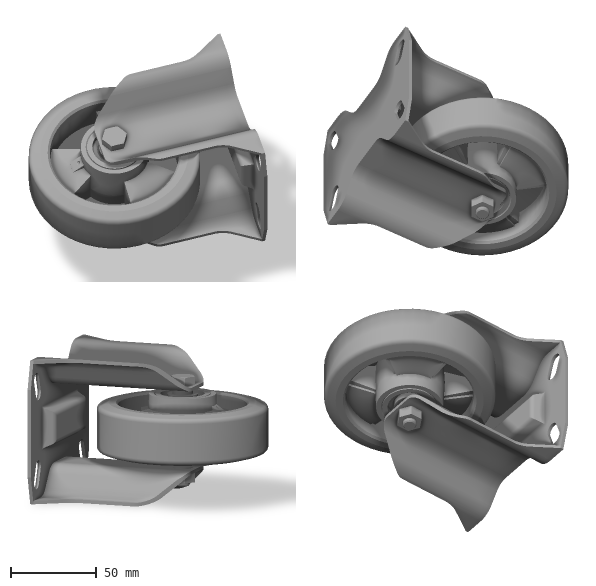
import cadquery as cq
import math


overlap = 1.3
margin = 0.1

wheel_radius = 49.98
wheel_half_width = 15.0
tyre_face_radius = 43.1
tyre_shoulder_angle = 15.5
tyre_shoulder_fillet = 2.8
rim_radius = 41.5
rim_lip_radius = 38.9
rim_chamfer = 1.3
web_outer_radius = 37.0

hub_half_width = 20.2
hub_face_radius = 19.6
hub_base_radius = 20.5
hub_mouth_chamfer = 0.8
web_hub_height = 11.6
web_rim_height = 6.9
web_thickness = 3.1
web_sectors = 6
rib_angle = 5.0

wedge_width = 7.0
wedge_hub_height = 13.8
wedge_end_height = 10.1
wedge_end_radius = 26.1
dimple_radius = 22.0
dimple_diameter = 2.3
dimple_depth = 0.5

bearing_diameter = 32.0
bearing_width = 10.0
seal_depth = 2.5
seal_slope_depth = 1.0
seal_outer_diameter = 25.9
seal_outer_flat = 24.0
seal_inner_flat = 20.1
seal_inner_diameter = 18.0
spacer_diameter = 12.0

bolt_diameter = 8.0
bolt_end = 34.4
bolt_end_chamfer = 0.6
hex_sides = 6
hex_flats = 13.0
hex_corners = hex_flats / math.cos(math.pi / hex_sides)
head_height = 5.0
head_chamfer_height = 0.3
nut_height = 6.4

sheet = 2.0
overall_length = 128.0
plate_back = overall_length - wheel_radius
plate_front = plate_back - sheet
plate_half_width = wheel_radius
plate_side_half_height = 25.9
plate_end_half_width = 45.5
crest_height = 42.5
valley_height = 25.6
valley_corner = 14.5
flank_angle = 53.0
bend_radius = 10.0

leg_root_half_width = 45.2
leg_half_width = 32.3
leg_root_fillet = 18.7
leg_edge_angle = 56.5
leg_shoulder = 17.3
leg_end = -9.0
leg_corner_fillet = 9.7

slot_diameter = 8.6
slot_length = 17.2
slot_x = 38.7
slot_z = 26.1
slot_tilt = 20.0

pad_length = 59.1
pad_height = 24.0
pad_depth = 6.9
pad_taper = 24.0
pad_top_fillet = 3.1
pad_base_fillet = 1.5


def revolved(points, angle=360.0):
    """Turn a closed (radius, z) outline about the Z axis, counting the angle from +X."""
    return cq.Workplane("XZ").polyline(points).close().revolve(angle, (0, 0), (0, 1))


def cylinder(diameter, bottom, top):
    return cq.Workplane("XY").workplane(offset=bottom).circle(diameter / 2).extrude(top - bottom)


def hexagon(bottom, top):
    """Hexagonal prism with two of its flats facing along X."""
    prism = cq.Workplane("XY").workplane(offset=bottom).polygon(hex_sides, hex_corners).extrude(top - bottom)
    return prism.rotate((0, 0, 0), (0, 0, 1), 180 / hex_sides)


def box_selector(half_x, half_z, front, back):
    """Picks what has its centre in a box centred on the Y axis, between two places along Y."""
    return cq.selectors.BoxSelector(
        (-half_x - margin, front - margin, -half_z - margin),
        (half_x + margin, back + margin, half_z + margin),
    )


def folded_block(inset, back, front):
    """Block with the waisted outline of the bracket, drawn in from the outer sheet face by the inset."""
    half_turn = math.tan(math.radians(flank_angle / 2))
    flank_run = (crest_height - valley_height) / math.tan(math.radians(flank_angle))
    valley_x = valley_corner + inset * half_turn
    crest_x = valley_x + flank_run
    crest_z = crest_height - inset
    valley_z = valley_height - inset
    quarter = [
        (valley_x, valley_z),
        (crest_x, crest_z),
        (plate_end_half_width, crest_z),
        (plate_half_width, plate_side_half_height),
    ]
    right = quarter + [(x, -z) for x, z in reversed(quarter)]
    left = [(-x, -z) for x, z in right]
    block = cq.Workplane("XZ", origin=(0, back, 0)).polyline(right + left).close().extrude(back - front)

    valleys = box_selector(valley_x, valley_z, front, back)
    block = block.edges("|Y").edges(valleys).fillet(bend_radius + inset)
    crests = box_selector(crest_x, crest_z, front, back)
    bend_starts = box_selector(valley_x + flank_run / 2, crest_z, front, back)
    return block.edges("|Y").edges(crests - bend_starts).fillet(bend_radius + sheet - inset)


def leg_contour():
    """Block standing along Z whose plan is the plate edge running into the two tapered legs."""
    slope = math.tan(math.radians(leg_edge_angle))
    neck_y = plate_front - (leg_root_half_width - leg_half_width) * slope
    tip_x = leg_half_width - (leg_shoulder - leg_end) / slope
    right = [
        (plate_half_width, plate_back),
        (plate_half_width, plate_front),
        (leg_root_half_width, plate_front),
        (leg_half_width, neck_y),
        (leg_half_width, leg_shoulder),
        (tip_x, leg_end),
    ]
    left = [(-x, y) for x, y in reversed(right)]
    block = cq.Workplane("XY").polyline(right + left).close().extrude(crest_height, both=True)
    necks = box_selector(leg_half_width, crest_height, neck_y - margin, neck_y + margin)
    block = block.edges("|Z").edges(necks).fillet(leg_root_fillet)
    corners = box_selector(leg_half_width, crest_height, leg_end, leg_shoulder)
    return block.edges("|Z").edges(corners).fillet(leg_corner_fillet)


def mounting_slots():
    """Four slots through the plate, leaning outward towards its top and bottom edges."""
    slots = cq.Workplane("XZ")
    for side in (-1, 1):
        for level in (-1, 1):
            slot = (
                cq.Workplane("XZ", origin=(side * slot_x, plate_back + sheet, level * slot_z))
                .transformed(rotate=(0, 0, 90 - side * level * slot_tilt))
                .slot2D(slot_length, slot_diameter)
                .extrude(3 * sheet)
            )
            slots = slots.add(slot)
    return slots.combine()


def plate_pad():
    """Tapered pad in the middle of the plate, facing the wheel."""
    pad = (
        cq.Workplane("XZ", origin=(0, plate_front, 0))
        .rect(pad_length, pad_height)
        .extrude(pad_depth, taper=pad_taper)
    )
    return pad.faces("<Y").edges().fillet(pad_top_fillet)


def make_bracket():
    folded = folded_block(0, plate_back, leg_end).cut(folded_block(sheet, plate_front, leg_end - overlap))
    bracket = folded.intersect(leg_contour()).cut(mounting_slots()).union(plate_pad())
    pad_foot = box_selector(pad_length / 2, pad_height / 2, plate_front, plate_front)
    bracket = bracket.edges(pad_foot).fillet(pad_base_fillet)
    return bracket.cut(cylinder(bolt_diameter, -crest_height, crest_height))


def make_tyre():
    """Tread with sloping shoulders, each turning into the running surface through a tangent arc."""
    slope = math.radians(tyre_shoulder_angle)
    turn = math.pi / 2 - slope
    tangent = tyre_shoulder_fillet * math.tan(turn / 2)
    corner_z = wheel_half_width - (wheel_radius - tyre_face_radius) * math.tan(slope)
    arc_start = (wheel_radius - tangent * math.cos(slope), corner_z + tangent * math.sin(slope))
    arc_end = (wheel_radius, corner_z - tangent)
    arc_middle = (
        wheel_radius - tyre_shoulder_fillet * (1 - math.cos(turn / 2)),
        arc_end[1] + tyre_shoulder_fillet * math.sin(turn / 2),
    )

    def below(point):
        return point[0], -point[1]

    outline = (
        cq.Workplane("XZ")
        .moveTo(rim_radius, wheel_half_width)
        .lineTo(tyre_face_radius, wheel_half_width)
        .lineTo(*arc_start)
        .threePointArc(arc_middle, arc_end)
        .lineTo(*below(arc_end))
        .threePointArc(below(arc_middle), below(arc_start))
        .lineTo(tyre_face_radius, -wheel_half_width)
        .lineTo(rim_radius, -wheel_half_width)
        .close()
    )
    return outline.revolve(360, (0, 0), (0, 1))


def rim():
    """Ring drafted from both ends to a narrowest circle, which the low web sectors cover."""
    throat_radius = rim_lip_radius - rim_chamfer
    throat_height = wheel_half_width - rim_chamfer
    waist_height = web_thickness / 2 - web_rim_height
    upper = [
        (throat_radius, throat_height),
        (rim_lip_radius, wheel_half_width),
        (rim_radius, wheel_half_width),
    ]
    lower = [(r, -z) for r, z in reversed(upper)]
    return revolved([(web_outer_radius, waist_height)] + upper + lower)


def hub():
    bore = bearing_diameter / 2
    upper = [
        (hub_base_radius, 0),
        (hub_face_radius, hub_half_width),
        (bore + hub_mouth_chamfer, hub_half_width),
        (bore, hub_half_width - hub_mouth_chamfer),
    ]
    return revolved(upper + [(r, -z) for r, z in reversed(upper[1:])])


def web():
    """Dished sectors, in turn high and low at the hub, with a radial rib at every step between them."""
    inner = (hub_face_radius + bearing_diameter / 2) / 2
    outer = (web_outer_radius + rim_lip_radius) / 2
    slope = (web_hub_height - web_rim_height) / (web_outer_radius - hub_base_radius)
    inner_z = web_hub_height + (hub_base_radius - inner) * slope
    outer_z = web_rim_height - (outer - web_outer_radius) * slope
    sector_angle = 360 / web_sectors
    high = revolved(
        [(inner, inner_z), (outer, outer_z), (outer, outer_z - web_thickness), (inner, inner_z - web_thickness)],
        sector_angle,
    )
    low = high.rotate((0, 0, 0), (1, 0, 0), 180)
    rib_inner_z = inner_z - web_thickness / 2
    rib_outer_z = outer_z - web_thickness / 2
    rib = revolved(
        [(inner, rib_inner_z), (outer, rib_outer_z), (outer, -rib_outer_z), (inner, -rib_inner_z)],
        rib_angle,
    )
    far_rib = rib.rotate((0, 0, 0), (0, 0, 1), sector_angle - rib_angle)
    pair = high.union(low).union(rib).union(far_rib)
    whole = pair
    for turn in range(1, web_sectors // 2):
        whole = whole.union(pair.rotate((0, 0, 0), (0, 0, 1), 2 * turn * sector_angle))
    return whole


def web_wedge():
    """Sloping wedge against the hub on the -Y sector of the web."""
    inner = hub_face_radius - overlap
    slope = (wedge_hub_height - wedge_end_height) / (wedge_end_radius - hub_base_radius)
    inner_z = wedge_end_height + (wedge_end_radius - inner) * slope
    foot = wedge_end_height - web_thickness / 2
    wedge = (
        cq.Workplane("YZ")
        .polyline([(-inner, foot), (-inner, inner_z), (-wedge_end_radius, wedge_end_height),
                   (-wedge_end_radius, foot)])
        .close()
        .extrude(wedge_width / 2, both=True)
    )
    surface = wedge_end_height + (wedge_end_radius - dimple_radius) * slope
    dimple = cylinder(dimple_diameter, surface - dimple_depth, wedge_hub_height).translate((0, -dimple_radius, 0))
    return wedge, dimple


def make_wheel():
    wedge, dimple = web_wedge()
    return rim().union(web()).union(hub()).union(wedge).cut(dimple)


def make_bearing(side):
    """Bearing with a sunken seal on its outer face; side is +1 for the top one and -1 for the bottom one."""
    face = hub_half_width
    seal = face - seal_depth
    seal_rim = seal - seal_slope_depth
    back = face - bearing_width
    bearing = revolved([
        (spacer_diameter / 2, back),
        (bearing_diameter / 2, back),
        (bearing_diameter / 2, face),
        (seal_outer_diameter / 2, face),
        (seal_outer_diameter / 2, seal_rim),
        (seal_outer_flat / 2, seal),
        (seal_inner_flat / 2, seal),
        (seal_inner_diameter / 2, seal_rim),
        (seal_inner_diameter / 2, face),
        (spacer_diameter / 2, face),
    ])
    return bearing if side > 0 else bearing.mirror("XY")


def make_spacer():
    reach = valley_height - sheet
    return cylinder(spacer_diameter, -reach, reach).cut(cylinder(bolt_diameter, -reach, reach))


def make_bolt():
    shank = cylinder(bolt_diameter, -bolt_end, valley_height).faces("<Z").chamfer(bolt_end_chamfer)
    top = valley_height + head_height
    corner_radius = hex_corners / 2
    crown = revolved([
        (0, valley_height),
        (corner_radius, valley_height),
        (corner_radius, top - head_chamfer_height),
        (hex_flats / 2, top),
        (0, top),
    ])
    return shank.union(hexagon(valley_height, top).intersect(crown))


def make_nut():
    top = -valley_height
    bottom = top - nut_height
    return hexagon(bottom, top).cut(cylinder(bolt_diameter, bottom, top))


bracket = make_bracket()
tyre = make_tyre()
wheel = make_wheel()
bearings = [make_bearing(side) for side in (1, -1)]
spacer = make_spacer()
bolt = make_bolt()
nut = make_nut()

result = cq.Compound.makeCompound([
    bracket.val(),
    tyre.val(),
    wheel.val(),
    *[bearing.val() for bearing in bearings],
    spacer.val(),
    bolt.val(),
    nut.val(),
])